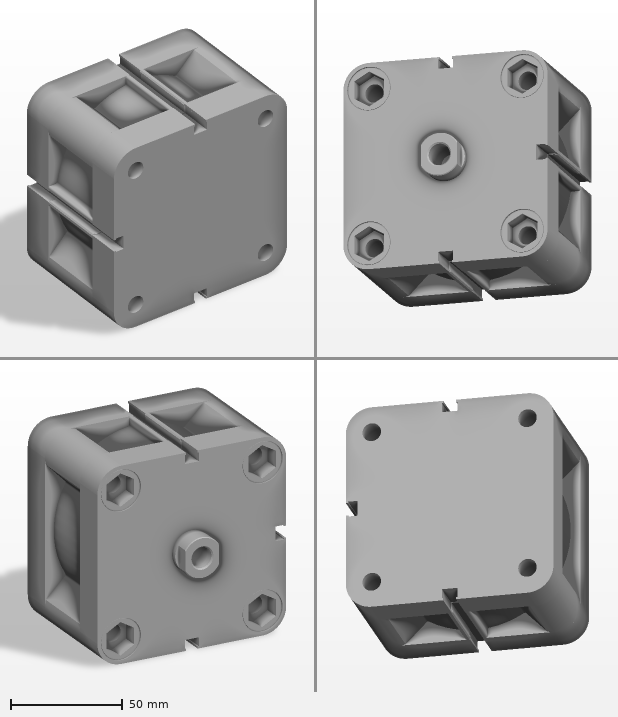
import cadquery as cq
import math


WIDTH = 96.0
CORNER_RADIUS = 12.0
CORNER_OFFSET = WIDTH / 2 - CORNER_RADIUS

CAP_LENGTH = 16.5
BARREL_LENGTH = 33.5
ROD_PROJECTION = 10.0
BARREL_START = CAP_LENGTH
REAR_CAP_START = BARREL_START + BARREL_LENGTH

BOLT_HOLE_DIAMETER = 8.5
SOCKET_ACROSS_FLATS = 14.0
SOCKET_DEPTH = 8.0
HEAD_RECESS_DIAMETER = 20.4
HEAD_RECESS_DEPTH = 0.5
HEAD_DIAMETER = 19.6
HEAD_GROOVE_DEPTH = 1.0

CAP_SLOT_MOUTH = 6.0
CAP_SLOT_WIDTH = 7.1
CAP_SLOT_DEPTH = 5.4
CAP_LIP_DEPTH = 1.1

TUBE_RADIUS = 43.6
LOBE_WIDTH = 20.9
ROOT_FILLET = 0.9
RAIL_WIDTH = 10.5
RAIL_HEIGHT = WIDTH / 2
RAIL_EDGE_RADIUS = 0.9
RAIL_SLOT_MOUTH = 5.4
RAIL_SLOT_WIDTH = 6.3
RAIL_SLOT_FLOOR = 43.0
RAIL_LIP_BOTTOM = 46.5
RAIL_MOUTH_CHAMFER = 0.6

ROD_DIAMETER = 20.0
ROD_TIP_CHAMFER = 0.4
ROD_ACROSS_FLATS = 17.0
FLAT_LENGTH = 6.7
FLAT_RUNOUT = 0.4
BORE_DIAMETER = 10.0
BORE_COUNTERSINK_DIAMETER = 11.3
BORE_DEPTH = 20.0
DRILL_POINT_ANGLE = 118.0

SLOT_ANGLES = (0, 90, 180)
LOBE_ANGLES = (45, 135, 225, 315)
FLAT_ANGLES = (0, 180)
EDGE_TOLERANCE = 0.01


def section_plane(x):
    """Workplane across the rod axis: local x is Y, local y is Z, extrusion runs along +X."""
    return cq.Workplane("YZ", origin=(x, 0, 0))


def turn_about_axis(shape, angle):
    return shape.rotate((0, 0, 0), (1, 0, 0), angle)


def corner_points():
    return [(y, z) for y in (-CORNER_OFFSET, CORNER_OFFSET) for z in (-CORNER_OFFSET, CORNER_OFFSET)]


def bolt_holes(x, length):
    return section_plane(x).pushPoints(corner_points()).circle(BOLT_HOLE_DIAMETER / 2).extrude(length)



def cap_slot(x):
    half_mouth = CAP_SLOT_MOUTH / 2
    half_width = CAP_SLOT_WIDTH / 2
    top = WIDTH / 2
    lip = top - CAP_LIP_DEPTH
    floor = top - CAP_SLOT_DEPTH
    outline = [
        (half_mouth, top),
        (half_mouth, lip),
        (half_width, lip),
        (half_width, floor),
        (-half_width, floor),
        (-half_width, lip),
        (-half_mouth, lip),
        (-half_mouth, top),
    ]
    return section_plane(x).polyline(outline).close().extrude(CAP_LENGTH)


def make_cap(x):
    cap = section_plane(x).rect(WIDTH, WIDTH).extrude(CAP_LENGTH).edges("|X").fillet(CORNER_RADIUS)
    cap = cap.cut(bolt_holes(x, CAP_LENGTH))
    for angle in SLOT_ANGLES:
        cap = cap.cut(turn_about_axis(cap_slot(x), angle))
    return cap


def socket_recesses():
    """Hexagon sockets, with a corner of each hexagon pointing up."""
    across_corners = SOCKET_ACROSS_FLATS / math.cos(math.pi / 6)
    hexagon = cq.Sketch().regularPolygon(across_corners / 2, 6)
    sockets = section_plane(0).pushPoints(corner_points()).placeSketch(hexagon)
    return sockets.extrude(HEAD_RECESS_DEPTH + SOCKET_DEPTH)


def head_recesses():
    """Shallow round recesses, deeper in a narrow ring that outlines each bolt head."""
    plane = section_plane(0).pushPoints(corner_points())
    recesses = plane.circle(HEAD_RECESS_DIAMETER / 2).extrude(HEAD_GROOVE_DEPTH)
    heads = section_plane(HEAD_RECESS_DEPTH).pushPoints(corner_points()).circle(HEAD_DIAMETER / 2)
    return recesses.cut(heads.extrude(HEAD_GROOVE_DEPTH - HEAD_RECESS_DEPTH))


def make_front_cap():
    rod_hole = section_plane(0).circle(ROD_DIAMETER / 2).extrude(CAP_LENGTH)
    return make_cap(0).cut(socket_recesses()).cut(head_recesses()).cut(rod_hole)



def corner_lobe():
    """Parallel-sided arm along +Y, rounded about the corner centre at its outer end."""
    centre = math.hypot(CORNER_OFFSET, CORNER_OFFSET)
    half_width = LOBE_WIDTH / 2
    arc_start = centre + math.sqrt(CORNER_RADIUS ** 2 - half_width ** 2)
    return (
        section_plane(BARREL_START)
        .moveTo(0, -half_width)
        .lineTo(arc_start, -half_width)
        .threePointArc((centre + CORNER_RADIUS, 0), (arc_start, half_width))
        .lineTo(0, half_width)
        .close()
        .extrude(BARREL_LENGTH)
    )


def slot_rail():
    rail = section_plane(BARREL_START).center(0, RAIL_HEIGHT / 2).rect(RAIL_WIDTH, RAIL_HEIGHT)
    return rail.extrude(BARREL_LENGTH).edges("|X and >Z").fillet(RAIL_EDGE_RADIUS)


def rail_slot():
    half_mouth = RAIL_SLOT_MOUTH / 2
    half_width = RAIL_SLOT_WIDTH / 2
    outline = [
        (half_mouth + RAIL_MOUTH_CHAMFER, RAIL_HEIGHT),
        (half_mouth, RAIL_HEIGHT - RAIL_MOUTH_CHAMFER),
        (half_mouth, RAIL_LIP_BOTTOM),
        (half_width, RAIL_LIP_BOTTOM),
        (half_width, RAIL_SLOT_FLOOR),
        (-half_width, RAIL_SLOT_FLOOR),
        (-half_width, RAIL_LIP_BOTTOM),
        (-half_mouth, RAIL_LIP_BOTTOM),
        (-half_mouth, RAIL_HEIGHT - RAIL_MOUTH_CHAMFER),
        (-half_mouth - RAIL_MOUTH_CHAMFER, RAIL_HEIGHT),
    ]
    return section_plane(BARREL_START).polyline(outline).close().extrude(BARREL_LENGTH)


def is_root_edge(edge):
    """True for the inner corners where a lobe or a rail meets the tube."""
    middle = edge.Center()
    return abs(math.hypot(middle.y, middle.z) - TUBE_RADIUS) < EDGE_TOLERANCE


def make_barrel():
    tube = section_plane(BARREL_START).circle(TUBE_RADIUS).extrude(BARREL_LENGTH)
    barrel = turn_about_axis(tube, LOBE_ANGLES[0])
    for angle in LOBE_ANGLES:
        barrel = barrel.union(turn_about_axis(corner_lobe(), angle))
    for angle in SLOT_ANGLES:
        barrel = barrel.union(turn_about_axis(slot_rail(), angle))
    barrel = barrel.edges("|X").filter(is_root_edge).fillet(ROOT_FILLET)
    for angle in SLOT_ANGLES:
        barrel = barrel.cut(turn_about_axis(rail_slot(), angle))
    return barrel.cut(bolt_holes(BARREL_START, BARREL_LENGTH))



def wrench_flat():
    """Material removed on the +Y side: a flat that ends in a sloping shoulder."""
    flat = ROD_ACROSS_FLATS / 2
    outside = ROD_DIAMETER / 2
    flat_end = FLAT_LENGTH - ROD_PROJECTION
    outline = [
        (-ROD_PROJECTION, flat),
        (flat_end, flat),
        (flat_end + FLAT_RUNOUT, outside),
        (-ROD_PROJECTION, outside),
    ]
    return cq.Workplane("XY").polyline(outline).close().extrude(outside, both=True)


def rod_bore():
    """Blind drilled bore with a countersunk mouth and a conical bottom."""
    radius = BORE_DIAMETER / 2
    mouth_radius = BORE_COUNTERSINK_DIAMETER / 2
    cone_length = radius / math.tan(math.radians(DRILL_POINT_ANGLE / 2))
    bottom = BORE_DEPTH - ROD_PROJECTION
    outline = [
        (-ROD_PROJECTION, 0),
        (-ROD_PROJECTION, mouth_radius),
        (-ROD_PROJECTION + mouth_radius - radius, radius),
        (bottom, radius),
        (bottom + cone_length, 0),
    ]
    return cq.Workplane("XY").polyline(outline).close().revolve(360, (0, 0, 0), (1, 0, 0))


def make_rod():
    rod = section_plane(-ROD_PROJECTION).circle(ROD_DIAMETER / 2).extrude(ROD_PROJECTION + CAP_LENGTH)
    rod = rod.faces("<X").chamfer(ROD_TIP_CHAMFER)
    for angle in FLAT_ANGLES:
        rod = rod.cut(turn_about_axis(wrench_flat(), angle))
    return rod.cut(rod_bore())


front_cap = make_front_cap()
barrel = make_barrel()
rear_cap = make_cap(REAR_CAP_START)
rod = make_rod()

result = cq.Compound.makeCompound([body.solids().val() for body in (front_cap, barrel, rear_cap, rod)])